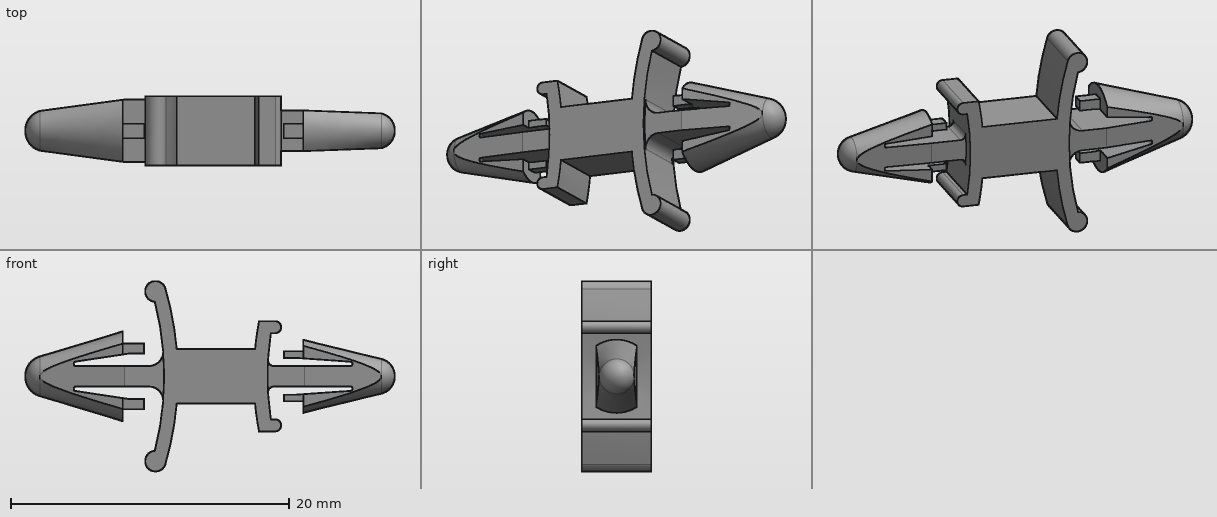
import cadquery as cq
import math


BODY_WIDTH = 5.0
BLOCK_HALF_HEIGHT = 1.97
FLANGE_THICKNESS = 1.0

LARGE_FACE_RADIUS = 21.6
LARGE_AXIS_X = -LARGE_FACE_RADIUS
BEAD_RADIUS = 0.75
LARGE_HALF_HEIGHT = 6.85

SMALL_FACE_X = 7.44
SMALL_FACE_RADIUS = 20.0
SMALL_AXIS_X = SMALL_FACE_X + SMALL_FACE_RADIUS
SMALL_HALF_HEIGHT = 3.97
LIP_HEIGHT = 0.88
LIP_END_X = 8.42

LEFT_BASE_X = -2.96
RIGHT_BASE_X = 10.0
LEFT_TIP_X = -10.0
RIGHT_TIP_X = 16.6
STEM_HALF_HEIGHT = 0.75
STEM_OVERLAP = 0.5
TAB_WIDTH = 1.04
SLOT_DEPTH = 3.53
SLOT_END_HEIGHT = 0.28
SLOT_END_ROUNDING = 0.12
SLOT_SLOPE_START = -0.45


def arc_x(axis_x, radius, z, side):
    """X of a circle centred on (axis_x, 0) at height z; side is +1 or -1."""
    return axis_x + side * math.sqrt(radius**2 - z**2)


def side_plane():
    """XZ sketch plane on the +Y face of the body; its normal points toward -Y."""
    return cq.Workplane("XZ", origin=(0, BODY_WIDTH / 2, 0))


def flange(axis_x, inner_radius, half_height, side):
    """Curved plate of constant thickness, bounded by two concentric arcs."""
    outer_radius = inner_radius + FLANGE_THICKNESS
    inner_x = arc_x(axis_x, inner_radius, half_height, side)
    outer_x = arc_x(axis_x, outer_radius, half_height, side)
    return (
        side_plane()
        .moveTo(inner_x, -half_height)
        .threePointArc((axis_x + side * inner_radius, 0), (inner_x, half_height))
        .lineTo(outer_x, half_height)
        .threePointArc((axis_x + side * outer_radius, 0), (outer_x, -half_height))
        .close()
        .extrude(BODY_WIDTH)
    )


def large_flange():
    """Large flange with a round bead on each tip, flush with its outer face."""
    bead_z = LARGE_HALF_HEIGHT - BEAD_RADIUS
    outer_radius = LARGE_FACE_RADIUS + FLANGE_THICKNESS
    bead_path_radius = outer_radius - BEAD_RADIUS
    tangent_z = bead_z * outer_radius / bead_path_radius
    bead_x = arc_x(LARGE_AXIS_X, bead_path_radius, bead_z, 1)
    beads = (
        side_plane()
        .pushPoints([(bead_x, bead_z), (bead_x, -bead_z)])
        .circle(BEAD_RADIUS)
        .extrude(BODY_WIDTH)
    )
    return flange(LARGE_AXIS_X, LARGE_FACE_RADIUS, tangent_z, 1).union(beads)


def lip():
    """Upper lip of the small flange, pointing to +X with a half-round end."""
    top = SMALL_HALF_HEIGHT
    bottom = top - LIP_HEIGHT
    root_x = SMALL_FACE_X - FLANGE_THICKNESS / 2 + LIP_HEIGHT / 2
    round_x = LIP_END_X - LIP_HEIGHT / 2
    return (
        side_plane()
        .moveTo(root_x, bottom)
        .lineTo(round_x, bottom)
        .threePointArc((LIP_END_X, (top + bottom) / 2), (round_x, top))
        .lineTo(root_x, top)
        .close()
        .extrude(BODY_WIDTH)
    )


def body():
    """Central block with both flanges."""
    block_start = FLANGE_THICKNESS / 2
    block_end = SMALL_FACE_X - FLANGE_THICKNESS / 2
    block = cq.Workplane("XY").box(
        block_end - block_start, BODY_WIDTH, 2 * BLOCK_HALF_HEIGHT, centered=(False, True, True)
    ).translate((block_start, 0, 0))
    small_flange = flange(SMALL_AXIS_X, SMALL_FACE_RADIUS, SMALL_HALF_HEIGHT, -1)
    upper_lip = lip()
    return (
        block.union(large_flange())
        .union(small_flange)
        .union(upper_lip)
        .union(upper_lip.mirror("XY"))
    )


def stem(stem_length, root_fillet, face_radius):
    """Flat stem from the arrowhead base plane, its root filleted into the hollow flange face."""
    root_x = -stem_length - STEM_OVERLAP
    axis_x = -stem_length + face_radius
    fillet_z = STEM_HALF_HEIGHT + root_fillet
    fillet_x = arc_x(axis_x, face_radius - root_fillet, fillet_z, -1)
    tangent_angle = math.asin(fillet_z / (face_radius - root_fillet))
    tangent_x = axis_x - face_radius * math.cos(tangent_angle)
    tangent_z = face_radius * math.sin(tangent_angle)
    mid_angle = (math.pi / 2 - tangent_angle) / 2
    mid_x = fillet_x - root_fillet * math.cos(mid_angle)
    mid_z = fillet_z - root_fillet * math.sin(mid_angle)
    return (
        side_plane()
        .moveTo(root_x, -tangent_z)
        .lineTo(tangent_x, -tangent_z)
        .threePointArc((mid_x, -mid_z), (fillet_x, -STEM_HALF_HEIGHT))
        .lineTo(0, -STEM_HALF_HEIGHT)
        .lineTo(0, STEM_HALF_HEIGHT)
        .lineTo(fillet_x, STEM_HALF_HEIGHT)
        .threePointArc((mid_x, mid_z), (tangent_x, tangent_z))
        .lineTo(root_x, tangent_z)
        .close()
        .extrude(BODY_WIDTH)
    )


def plug(length, base_radius, dome_radius, stem_length, stem_width, taper_start,
         tab_length, tab_inner, tab_outer, root_fillet, face_radius):
    """Snap plug pointing to +X, with the base plane of its arrowhead on X = 0."""
    dome_x = length - dome_radius
    half_angle = math.atan2(base_radius, dome_x) - math.asin(
        dome_radius / math.hypot(dome_x, base_radius)
    )
    shoulder_x = dome_x + dome_radius * math.sin(half_angle)
    shoulder_radius = dome_radius * math.cos(half_angle)
    mid_angle = (math.pi / 2 + half_angle) / 2
    dome_mid = (dome_x + dome_radius * math.sin(mid_angle), dome_radius * math.cos(mid_angle))
    head = (
        cq.Workplane("XY")
        .lineTo(0, base_radius)
        .lineTo(shoulder_x, shoulder_radius)
        .threePointArc(dome_mid, (length, 0))
        .close()
        .revolve(360, (0, 0, 0), (1, 0, 0))
    )

    tabs = cq.Workplane("XY").box(
        tab_length, TAB_WIDTH, 2 * tab_outer, centered=(False, True, True)
    ).translate((-tab_length, 0, 0))

    slot = (
        side_plane()
        .moveTo(-tab_length, 0)
        .lineTo(-tab_length, tab_inner)
        .lineTo(SLOT_SLOPE_START, tab_inner)
        .lineTo(SLOT_DEPTH, STEM_HALF_HEIGHT + SLOT_END_HEIGHT)
        .lineTo(SLOT_DEPTH, STEM_HALF_HEIGHT)
        .lineTo(0, STEM_HALF_HEIGHT)
        .lineTo(0, 0)
        .close()
        .extrude(BODY_WIDTH)
        .faces(">X")
        .edges("|Y")
        .fillet(SLOT_END_ROUNDING)
    )

    root_x = -stem_length - STEM_OVERLAP
    half_width = stem_width / 2
    taper = (half_width - shoulder_radius) / (shoulder_x - taper_start)
    end_half_width = half_width - taper * (length - taper_start)
    sides = (
        cq.Workplane("XY")
        .polyline([
            (root_x, -half_width),
            (taper_start, -half_width),
            (length, -end_half_width),
            (length, end_half_width),
            (taper_start, half_width),
            (root_x, half_width),
        ])
        .close()
        .extrude(2 * base_radius, both=True)
    )

    barbs = head.union(tabs).cut(slot).cut(slot.mirror("XY"))
    return barbs.union(stem(stem_length, root_fillet, face_radius)).intersect(sides)


left_plug = plug(
    length=LEFT_BASE_X - LEFT_TIP_X,
    base_radius=3.25,
    dome_radius=1.5,
    stem_length=-LEFT_BASE_X,
    stem_width=4.5,
    taper_start=-0.08,
    tab_length=1.52,
    tab_inner=1.63,
    tab_outer=2.37,
    root_fillet=1.0,
    face_radius=LARGE_FACE_RADIUS,
).mirror("YZ").translate((LEFT_BASE_X, 0, 0))

right_plug = plug(
    length=RIGHT_TIP_X - RIGHT_BASE_X,
    base_radius=2.64,
    dome_radius=1.3,
    stem_length=RIGHT_BASE_X - SMALL_FACE_X,
    stem_width=2.94,
    taper_start=0.06,
    tab_length=1.38,
    tab_inner=1.31,
    tab_outer=1.81,
    root_fillet=0.4,
    face_radius=SMALL_FACE_RADIUS,
).translate((RIGHT_BASE_X, 0, 0))

result = body().union(left_plug).union(right_plug)